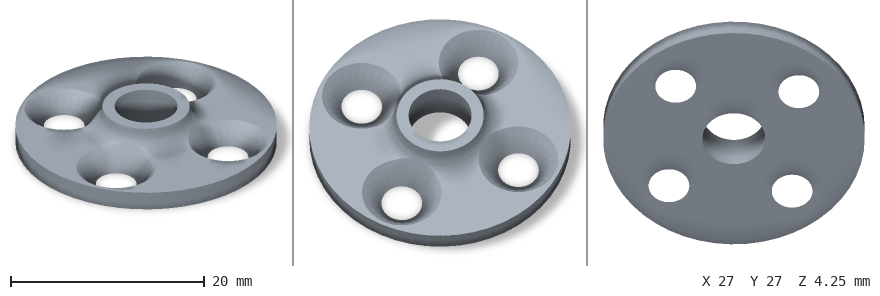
import cadquery as cq
import math

plate_diameter = 27.0
plate_thickness = 2.0
plate_radius = plate_diameter / 2

total_height = 4.25
bore_diameter = 6.5
hub_top_radius = 4.5
hub_draft_angle = 10.0
flare_radius = 2.0

hole_count = 4
hole_pitch_radius = 9.0
hole_start_angle = 10.0
hole_diameter = 4.2
countersink_leg = plate_thickness

seam_angle = hole_start_angle + 180 / hole_count

trim_allowance = 1.0


def hole_centres():
    """Centres of the screw holes, evenly spaced on the pitch circle."""
    centres = []
    for index in range(hole_count):
        angle = math.radians(hole_start_angle + index * 360 / hole_count)
        centres.append((hole_pitch_radius * math.cos(angle), hole_pitch_radius * math.sin(angle)))
    return centres


def make_flange():
    """Revolve the plate and hub, with a concave flare tangent to both."""
    draft = math.radians(hub_draft_angle)
    flare_centre_z = plate_thickness + flare_radius
    flare_top_z = flare_centre_z - flare_radius * math.sin(draft)
    flare_top_r = hub_top_radius + (total_height - flare_top_z) * math.tan(draft)
    flare_centre_r = flare_top_r + flare_radius * math.cos(draft)
    mid_angle = (math.pi / 2 + draft) / 2
    flare_middle = (
        flare_centre_r - flare_radius * math.cos(mid_angle),
        flare_centre_z - flare_radius * math.sin(mid_angle),
    )
    return (
        cq.Workplane("XZ")
        .moveTo(0, -trim_allowance)
        .lineTo(plate_radius, -trim_allowance)
        .lineTo(plate_radius, plate_thickness)
        .lineTo(flare_centre_r, plate_thickness)
        .threePointArc(flare_middle, (flare_top_r, flare_top_z))
        .lineTo(hub_top_radius, total_height)
        .lineTo(0, total_height)
        .close()
        .revolve(360, (0, 0, 0), (0, 1, 0))
        .rotate((0, 0, 0), (0, 0, 1), seam_angle)
    )


def cut_screw_holes(body):
    """Drill the screw holes and chamfer their rims, following the flare where they meet it."""
    drills = (
        cq.Workplane("XY", origin=(0, 0, -trim_allowance))
        .pushPoints(hole_centres())
        .circle(hole_diameter / 2)
        .extrude(trim_allowance + total_height)
    )
    body = body.cut(drills)
    for x, y in hole_centres():
        rim = cq.selectors.NearestToPointSelector((x, y, plate_thickness))
        body = body.edges(rim).chamfer(countersink_leg)
    return body


def trim_underside(body):
    """Remove the stock below the underside of the plate."""
    stock = cq.Workplane("XY").circle(plate_diameter).extrude(-2 * trim_allowance)
    return body.cut(stock)


def cut_bore(body):
    """Open the central bore through the plate and hub."""
    bore = cq.Workplane("XY").circle(bore_diameter / 2).extrude(total_height)
    return body.cut(bore)


result = cut_bore(trim_underside(cut_screw_holes(make_flange())))